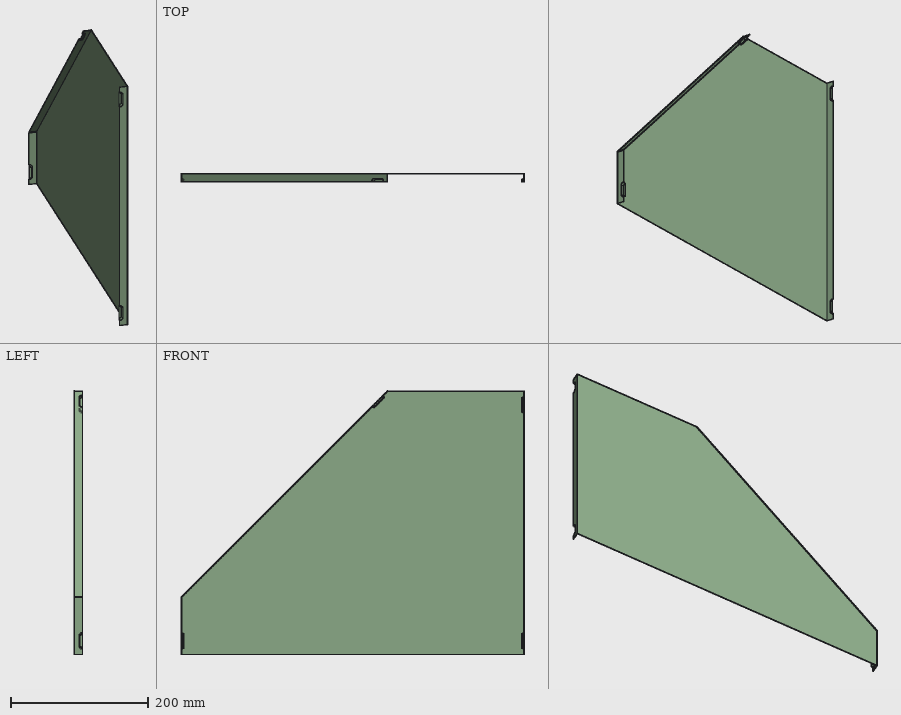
import cadquery as cq
import math

sheet = 1.0
width = 500.0
height = 384.0
depth = 12.5
left_height = 84.0
diagonal_run = height - left_height

top_relief = 1.0
corner_gap = 1.0
fold_corner = sheet / math.sqrt(2)

dimple_offset = 20.0
dimple_step = 3.0
mouth_length = 24.0
mouth_depth = 5.2
mouth_corner = 3.0
wall_run = 1.8


def trapezoid(inset):
    """Dimple outline on the free edge, narrowed by inset on its three closed sides."""
    half_front = mouth_length / 2 - inset
    half_back = half_front - mouth_corner
    back = depth - mouth_depth + inset
    shoulder = back + mouth_corner
    return [
        (-half_front, depth),
        (-half_front, shoulder),
        (-half_back, back),
        (half_back, back),
        (half_front, shoulder),
        (half_front, depth),
    ]


def dimple_body(step, inset):
    """Tapered block from the outer face (y = 0) inwards; x along the flange, z towards the free edge."""
    return (
        cq.Workplane(cq.Plane(origin=(0, 0, 0), xDir=(-1, 0, 0), normal=(0, 1, 0)))
        .polyline(trapezoid(inset)).close()
        .workplane(offset=step)
        .polyline(trapezoid(inset + wall_run)).close()
        .loft(ruled=True)
    )


def flange(length, dimple_positions):
    """Flange along x from 0, outer face on y = 0, standing from z = 0 to its free edge at z = depth."""
    body = cq.Workplane("XY").box(length, sheet, depth, centered=False)
    raised = dimple_body(dimple_step + sheet, -sheet / 2)
    hollow = dimple_body(dimple_step, 0)
    for position in dimple_positions:
        body = body.union(raised.translate((position, 0, 0)))
        body = body.cut(hollow.translate((position, 0, 0)))
    return body


def placed(body, x, z, direction):
    """Stand a flange on the panel with its start at (x, z), running along direction in XZ."""
    plane = cq.Plane(origin=(x, 0, z), xDir=(direction[0], 0, direction[1]), normal=(0, -1, 0))
    return cq.Workplane(body.val().moved(cq.Location(plane)))


panel = (
    cq.Workplane("XZ")
    .polyline([
        (0, 0),
        (width, 0),
        (width, height),
        (diagonal_run + 2 * fold_corner, height),
        (diagonal_run + fold_corner, height + fold_corner),
        (0, left_height),
    ])
    .close()
    .extrude(sheet)
)

right_flange = placed(
    flange(height, [dimple_offset, height - dimple_offset]), width, 0, (0, 1)
)

left_length = left_height - corner_gap
left_flange = placed(
    flange(left_length, [left_length - dimple_offset]), 0, left_length, (0, -1)
)

fold_length = diagonal_run * math.sqrt(2) + sheet
diagonal_length = fold_length - top_relief - corner_gap
relief_shift = top_relief / math.sqrt(2)
diagonal_flange = placed(
    flange(diagonal_length, [dimple_offset]),
    diagonal_run + fold_corner - relief_shift,
    height + fold_corner - relief_shift,
    (-1, -1),
)

result = panel.union(right_flange).union(left_flange).union(diagonal_flange)